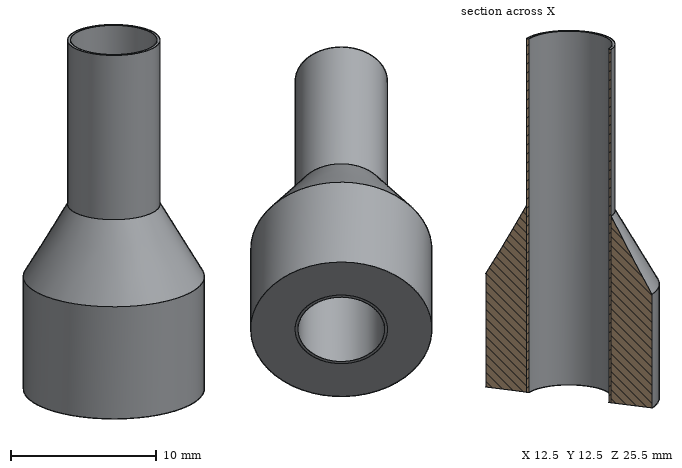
import cadquery as cq

total_height = 25.5
collar_diameter = 12.5
collar_straight_height = 8.2
collar_height = 13.5
tube_diameter = 6.38
tube_wall = 0.2

collar_radius = collar_diameter / 2
tube_radius = tube_diameter / 2
bore_radius = tube_radius - tube_wall


def make_tube():
    """Thin straight metal sleeve running the full height."""
    return cq.Workplane("XY").circle(tube_radius).circle(bore_radius).extrude(total_height)


def make_collar():
    """Insulating collar around the tube, its cone tapering down to the tube surface."""
    half_section = (
        cq.Workplane("XZ")
        .moveTo(tube_radius, 0)
        .lineTo(collar_radius, 0)
        .lineTo(collar_radius, collar_straight_height)
        .lineTo(tube_radius, collar_height)
        .close()
    )
    return half_section.revolve(360, (0, 0, 0), (0, 1, 0))


tube = make_tube()
collar = make_collar()

result = cq.Compound.makeCompound([tube.val(), collar.val()])